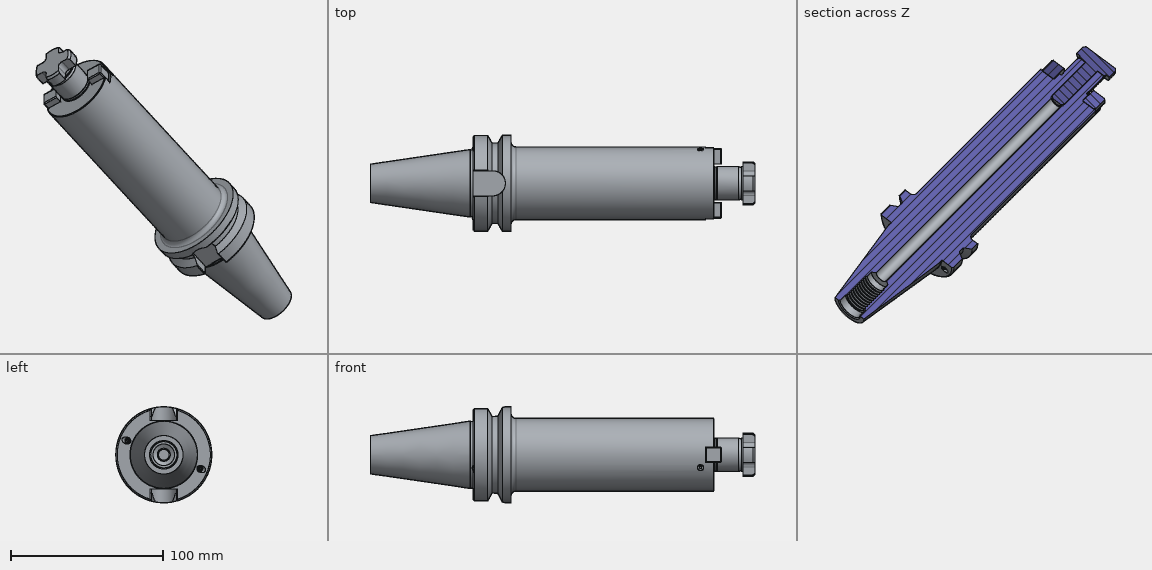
import cadquery as cq
import math

LENGTH = 252.5

taper_small_radius = 12.5
taper_large_radius = 22.2
taper_length = 65.4
relief_depth = 0.3
relief_runout = 0.5

flange_start = 67.5
flange_end = 92.5
flange_radius = 31.5
flange_chamfer = 1.0
groove_start = 77.0
groove_end = 86.5
groove_radius = 26.5
groove_side_angle = 60.0

body_radius = 24.0
body_end = 225.5
body_chamfer = 0.5
flange_fillet = 3.0

spigot_radius = 11.0
spigot_end = 243.3
spigot_chamfer_length = 2.0
spigot_chamfer_depth = 0.8
undercut_depth = 0.3
undercut_length = 1.8
undercut_runout = 0.5

keyway_width = 16.5
keyway_mouth_chamfer = 0.8
keyway_edge_chamfer = 0.8
keyway_floor = 22.5
keyway_end = 88.5

mouth_radius = 8.5
mouth_chamfer = 0.8
mouth_depth = 6.0
thread_radius = 7.0
thread_depth = 30.3
thread_pitch = 2.0
thread_groove_depth = 0.8
thread_turns = 10
coolant_radius = 4.3
drill_half_angle = 59.0

key_width = 10.0
key_inner = 12.5
key_outer = 23.0
key_start = 219.8
key_end = 230.5
key_chamfer = 0.8

shank_radius = 5.0
shank_length = 35.3
shank_chamfer = 1.5
head_start = 244.3
head_radius = 14.1
head_collar_radius = 11.0
head_chamfer_length = 1.5
head_chamfer_depth = 1.3
arm_width = 9.8
arm_corner_radius = 3.0

pair_turns = (0.0, 180.0)
port_angle = 21.0
plug_radius = 2.3
plug_length = 6.0
plug_centre_radius = 26.2
plug_tilt = 40.0
plug_recess = 0.8
plug_chamfer = 0.5
socket_width = 2.0
socket_depth = 2.5
side_hole_x = 216.5
side_hole_radius = 2.0
side_hole_depth = 0.8
side_inner_radius = 0.8
side_inner_depth = 5.0


def turned(profile):
    """Revolve a closed list of (x, radius) points about the X axis."""
    return cq.Workplane("XY").polyline(profile).close().revolve(360, (0, 0, 0), (1, 0, 0))


def about_axis(shape, angle):
    return shape.rotate((0, 0, 0), (1, 0, 0), angle)


def radial_box(x_start, x_end, width, inner, outer):
    """A block on the +Y side, from the inner to the outer distance from the axis."""
    block = cq.Workplane("XY").box(x_end - x_start, outer - inner, width, centered=(False, False, True))
    return block.translate((x_start, inner, 0))


def shank_and_flange():
    groove_slope = (flange_radius - groove_radius) / math.tan(math.radians(groove_side_angle))
    relief_radius = taper_large_radius - relief_depth
    return turned([
        (0, 0),
        (0, taper_small_radius),
        (taper_length, taper_large_radius),
        (taper_length + relief_runout, relief_radius),
        (flange_start, relief_radius),
        (flange_start, flange_radius - flange_chamfer),
        (flange_start + flange_chamfer, flange_radius),
        (groove_start, flange_radius),
        (groove_start + groove_slope, groove_radius),
        (groove_end - groove_slope, groove_radius),
        (groove_end, flange_radius),
        (flange_end, flange_radius),
        (flange_end, 0),
    ])


def body():
    """The cylinder behind the flange, with a hollow fillet where it leaves the flange."""
    fillet_end = flange_end + flange_fillet
    fillet_top = body_radius + flange_fillet
    arc_sag = flange_fillet * (1 - math.sqrt(0.5))
    return (
        cq.Workplane("XY")
        .moveTo(flange_end, 0)
        .lineTo(flange_end, fillet_top)
        .threePointArc((flange_end + arc_sag, body_radius + arc_sag), (fillet_end, body_radius))
        .lineTo(body_end - body_chamfer, body_radius)
        .lineTo(body_end, body_radius - body_chamfer)
        .lineTo(body_end, 0)
        .close()
        .revolve(360, (0, 0, 0), (1, 0, 0))
    )


def spigot():
    undercut_radius = spigot_radius - undercut_depth
    undercut_end = body_end + undercut_length
    return turned([
        (body_end, 0),
        (body_end, spigot_radius),
        (body_end + undercut_runout, undercut_radius),
        (undercut_end, undercut_radius),
        (undercut_end + undercut_runout, spigot_radius),
        (spigot_end - spigot_chamfer_length, spigot_radius),
        (spigot_end, spigot_radius - spigot_chamfer_depth),
        (spigot_end, 0),
    ])


def thread_points():
    """Zigzag of (x, radius) points, one V groove for each turn of the thread."""
    points = []
    for turn in range(thread_turns):
        start = mouth_depth + turn * thread_pitch
        points.append((start, thread_radius))
        points.append((start + thread_pitch / 2, thread_radius + thread_groove_depth))
    points.append((mouth_depth + thread_turns * thread_pitch, thread_radius))
    return points


def stepped_bore():
    cone_length = (thread_radius - coolant_radius) / math.tan(math.radians(drill_half_angle))
    shank_end = spigot_end - shank_length
    return turned([
        (0, 0),
        (0, mouth_radius + mouth_chamfer),
        (mouth_chamfer, mouth_radius),
        (mouth_depth, mouth_radius),
        *thread_points(),
        (thread_depth, thread_radius),
        (thread_depth + cone_length, coolant_radius),
        (shank_end, coolant_radius),
        (shank_end, shank_radius),
        (spigot_end, shank_radius),
        (spigot_end, 0),
    ])


def keyway():
    """A slot on the +Z side, chamfered where it opens towards the taper, with a full round end."""
    half_width = keyway_width / 2
    mouth_half_width = half_width + keyway_mouth_chamfer
    straight_start = flange_start + keyway_mouth_chamfer
    round_centre = keyway_end - half_width
    return (
        cq.Workplane("XY", origin=(0, 0, keyway_floor))
        .moveTo(flange_start, -mouth_half_width)
        .lineTo(straight_start, -half_width)
        .lineTo(round_centre, -half_width)
        .threePointArc((keyway_end, 0), (round_centre, half_width))
        .lineTo(straight_start, half_width)
        .lineTo(flange_start, mouth_half_width)
        .close()
        .extrude(flange_radius)
    )


def keyway_edge_bevel():
    """A wedge that chamfers both long edges of the keyway in front of the V groove."""
    half_width = keyway_width / 2
    edge_height = math.sqrt(flange_radius**2 - half_width**2)
    bevel_start = edge_height - keyway_edge_chamfer
    top_half_width = half_width + flange_radius - bevel_start
    groove_middle = (groove_start + groove_end) / 2
    return (
        cq.Workplane("YZ", origin=(flange_start, 0, 0))
        .polyline([
            (-half_width, bevel_start),
            (half_width, bevel_start),
            (top_half_width, flange_radius),
            (-top_half_width, flange_radius),
        ])
        .close()
        .extrude(groove_middle - flange_start)
    )


def plug_plane(depth):
    """A plane across the tilted plug axis, at a depth along the axis below the flange face."""
    tilt = math.radians(plug_tilt)
    axis = cq.Vector(math.cos(tilt), -math.sin(tilt), 0)
    opening = cq.Vector(flange_start, plug_centre_radius, 0)
    return cq.Workplane(cq.Plane(opening + axis * depth, xDir=(0, 0, 1), normal=axis))


def plug_hole():
    lead = plug_radius
    return plug_plane(-lead).circle(plug_radius).extrude(lead + plug_recess + plug_length)


def side_hole():
    """A shallow hole on the +Y side with a narrower one in its floor."""
    surface = cq.Workplane("XZ", origin=(side_hole_x, body_radius, 0))
    outer_hole = surface.circle(side_hole_radius).extrude(side_hole_depth)
    inner_hole = surface.circle(side_inner_radius).extrude(side_inner_depth)
    return outer_hole.union(inner_hole)


def key_slot():
    return radial_box(key_start, body_end, key_width, key_inner, body_radius)


def make_holder():
    holder = shank_and_flange().union(body()).union(spigot()).cut(stepped_bore())
    for turn in pair_turns:
        holder = holder.cut(about_axis(keyway(), turn))
        holder = holder.cut(about_axis(keyway_edge_bevel(), turn))
        holder = holder.cut(about_axis(key_slot(), turn))
        holder = holder.cut(about_axis(plug_hole(), turn + port_angle))
        holder = holder.cut(about_axis(side_hole(), turn + port_angle))
    return holder


def make_drive_key():
    block = radial_box(key_start, key_end, key_width, key_inner, key_outer)
    return block.faces(">Y or >X").edges("not <Y").chamfer(key_chamfer)


def make_retaining_screw():
    """A cross-shaped head on a round collar, with a plain shank."""
    head = turned([
        (head_start, 0),
        (head_start, head_radius),
        (LENGTH - head_chamfer_length, head_radius),
        (LENGTH, head_radius - head_chamfer_depth),
        (LENGTH, 0),
    ])
    arm_length = 3 * head_radius
    inner_corners = cq.selectors.BoxSelector((-arm_width, -arm_width, -2.5), (arm_width, arm_width, 2.5))
    arms = (
        cq.Workplane("YZ", origin=(head_start, 0, 0))
        .sketch()
        .rect(arm_length, arm_width)
        .rect(arm_width, arm_length)
        .clean()
        .reset()
        .vertices(inner_corners)
        .fillet(arm_corner_radius)
        .finalize()
        .extrude(LENGTH - head_start)
    )
    seat = cq.Workplane("YZ", origin=(spigot_end, 0, 0))
    collar = seat.circle(head_collar_radius).extrude(head_start - spigot_end)
    shank = seat.circle(shank_radius).extrude(-shank_length).faces("<X").chamfer(shank_chamfer)
    return head.intersect(arms).union(collar).union(shank)


def make_plug():
    plug = plug_plane(plug_recess).circle(plug_radius).extrude(plug_length)
    plug = plug.faces("<X").chamfer(plug_chamfer)
    socket = plug_plane(plug_recess).polygon(6, socket_width, circumscribed=True).extrude(socket_depth)
    return plug.cut(socket)


holder = make_holder()
screw = make_retaining_screw()
drive_keys = [about_axis(make_drive_key(), turn) for turn in pair_turns]
plugs = [about_axis(make_plug(), turn + port_angle) for turn in pair_turns]

result = cq.Compound.makeCompound([
    holder.val(),
    screw.val(),
    *[key.val() for key in drive_keys],
    *[plug.val() for plug in plugs],
])